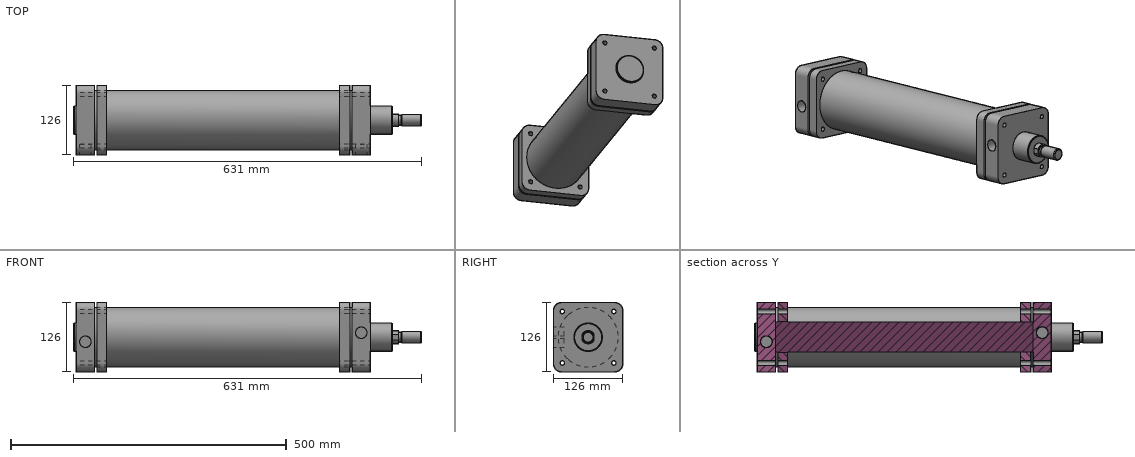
import cadquery as cq

TOTAL_LENGTH = 631.0

SQUARE_SIDE = 126.0
CORNER_RADIUS = 15.0
CAP_THICKNESS = 33.5
REAR_FLANGE_THICKNESS = 17.5
FRONT_FLANGE_THICKNESS = 19.0
REAR_GAP = 4.5
FRONT_GAP = 4.0
SCREW_PITCH = 93.5
SCREW_DIAMETER = 7.5

BOSS_DIAMETER = 52.0
BOSS_CHAMFER = 1.0
REAR_BOSS_LENGTH = 4.5
FRONT_BOSS_LENGTH = 40.0

PORT_DIAMETER = 21.0
PORT_DEPTH = 19.0
PORT_OFFSET = 8.0

BARREL_DIAMETER = 108.5

ROD_DIAMETER = 24.0
ACROSS_FLATS = 22.0
SHANK_LENGTH = 11.5
NECK_DIAMETER = 18.0
NECK_LENGTH = 4.5
THREAD_DIAMETER = 21.5
THREAD_CHAMFER = 2.0
ROD_LENGTH = 53.0

rear_cap_x = REAR_BOSS_LENGTH
barrel_start_x = rear_cap_x + CAP_THICKNESS
rear_flange_x = barrel_start_x + REAR_GAP
rod_x = TOTAL_LENGTH - ROD_LENGTH
front_face_x = rod_x - FRONT_BOSS_LENGTH
front_cap_x = front_face_x - CAP_THICKNESS
front_flange_x = front_cap_x - FRONT_GAP - FRONT_FLANGE_THICKNESS


def cylinder_x(start_x, length, diameter):
    """Round bar on the cylinder axis."""
    return cq.Workplane("YZ", origin=(start_x, 0, 0)).circle(diameter / 2).extrude(length)


def square_plate(start_x, thickness):
    """Square plate with rounded corners and four screw holes through it."""
    plate = (
        cq.Workplane("YZ", origin=(start_x, 0, 0))
        .rect(SQUARE_SIDE, SQUARE_SIDE)
        .extrude(thickness)
        .edges("|X")
        .fillet(CORNER_RADIUS)
    )
    screw_holes = (
        cq.Workplane("YZ", origin=(start_x, 0, 0))
        .rect(SCREW_PITCH, SCREW_PITCH, forConstruction=True)
        .vertices()
        .circle(SCREW_DIAMETER / 2)
        .extrude(thickness)
    )
    return plate.cut(screw_holes)


def cap(start_x, boss, port_z):
    """End cap: square plate with a boss and a blind air port."""
    port = (
        cq.Workplane("XZ", origin=(start_x + CAP_THICKNESS / 2, -SQUARE_SIDE / 2, port_z))
        .circle(PORT_DIAMETER / 2)
        .extrude(-PORT_DEPTH)
    )
    return square_plate(start_x, CAP_THICKNESS).union(boss).cut(port)


def flange(start_x, thickness):
    """Square flange that fits around the barrel."""
    return square_plate(start_x, thickness).cut(cylinder_x(start_x, thickness, BARREL_DIAMETER))


def make_rod():
    """Rod end: shank with two wrench flats, neck and chamfered thread."""
    neck_x = rod_x + SHANK_LENGTH
    thread_x = neck_x + NECK_LENGTH
    flats = cq.Workplane("XY").box(2 * TOTAL_LENGTH, ACROSS_FLATS, ROD_DIAMETER)
    shank = cylinder_x(rod_x, SHANK_LENGTH, ROD_DIAMETER).intersect(flats)
    neck = cylinder_x(neck_x, NECK_LENGTH, NECK_DIAMETER)
    thread = cylinder_x(thread_x, TOTAL_LENGTH - thread_x, THREAD_DIAMETER)
    thread = thread.faces("<X or >X").chamfer(THREAD_CHAMFER)
    return shank.union(neck).union(thread)


rear_boss = cylinder_x(0, REAR_BOSS_LENGTH, BOSS_DIAMETER).faces("<X").chamfer(BOSS_CHAMFER)
front_boss = cylinder_x(front_face_x, FRONT_BOSS_LENGTH, BOSS_DIAMETER).faces(">X").chamfer(BOSS_CHAMFER)

rear_cap = cap(rear_cap_x, rear_boss, -PORT_OFFSET)
front_cap = cap(front_cap_x, front_boss, PORT_OFFSET)
rear_flange = flange(rear_flange_x, REAR_FLANGE_THICKNESS)
front_flange = flange(front_flange_x, FRONT_FLANGE_THICKNESS)
barrel = cylinder_x(barrel_start_x, front_cap_x - barrel_start_x, BARREL_DIAMETER)
rod = make_rod()

result = cq.Compound.makeCompound(
    [
        rear_cap.val(),
        rear_flange.val(),
        barrel.val(),
        front_flange.val(),
        front_cap.val(),
        rod.val(),
    ]
)